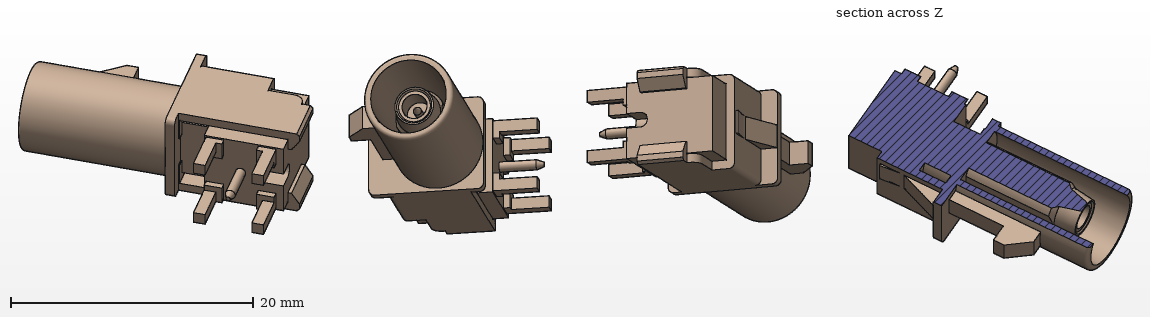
import cadquery as cq


barrel_radius = 3.75
bore_radius = 3.18
mouth_round = 0.29

flange_front = 12.7
flange_rear = 13.5
flange_top = 5.88
flange_bottom = -3.8
flange_corner_radius = 0.5
housing_height = 8.0
half_height = housing_height / 2

latch_width = 1.94
latch_front = 4.55
latch_crest_front = 6.5
latch_rear = 7.5
latch_ramp_start = 4.75
latch_top = 6.29
rib_top = 4.65

wall_thickness = 0.75
wall_inside = half_height - wall_thickness
housing_bottom = -2.6
roof_top = 4.42
roof_rear = 19.75
roof_edge_radius = 0.48
wall_step = 2.44
wall_step_radius = 0.84
wall_rear = 23.9
wall_rear_top = 1.43
wall_edge_chamfer = 0.25
hook_tip = 2.27
hook_tip_rear = 23.2

wedge_foot = 17.15
wedge_start_height = 5.83
bump_front = 17.57
bump_rear = 19.4
bump_height = 0.2

insert_half_height = 3.2
insert_front = 16.08
insert_rear = 22.9
insert_top = 3.68
insert_bottom = -3.9

web_radius = wall_inside
web_bottom = -1.95
shoulder_inner_z = 1.36
shoulder_depth = 0.1

groove_radius = 0.62
groove_axis_depth = 1.2
post_radius = 1.58

leg_tip = -7.62
leg_size = 1.0
leg_outer_z = 3.05
leg_front = 16.23
leg_rear = 22.25
foot_size = 1.53
foot_bottom = -4.45

pin_x = 19.22
pin_radius = 0.43
pin_cone_start = -7.0
pin_tip_radius = 0.2

contact_base_radius = 2.15
contact_half_flat = 1.94
contact_base_front = 4.78
contact_neck_front = 4.3
contact_neck_radius = 1.86
contact_front = 2.44
contact_front_radius = 1.63
countersink_radius = 1.48
socket_seat_radius = 1.35
countersink_depth = 0.15
socket_radius = 1.05
socket_floor = 4.78
center_pin_radius = 0.33
center_pin_front = 3.1
center_pin_taper = 0.72


def box(x0, x1, y0, y1, z0, z1):
    return cq.Workplane("XY").box(x1 - x0, y1 - y0, z1 - z0, centered=False).translate((x0, y0, z0))


def rod(radius, x0, x1):
    return cq.Workplane("YZ").workplane(offset=x0).circle(radius).extrude(x1 - x0)


def plate(points, width):
    """Outline in X and Y, thickened evenly about Z = 0."""
    return cq.Workplane("XY").polyline(points).close().extrude(width / 2, both=True)


def make_barrel():
    barrel = rod(barrel_radius, 0, flange_front).faces("<X").edges().fillet(mouth_round)
    latch = plate(
        [
            (latch_front, 0),
            (latch_front, latch_ramp_start),
            (latch_crest_front, latch_top),
            (latch_rear, latch_top),
            (latch_rear, rib_top),
            (flange_front, rib_top),
            (flange_front, 0),
        ],
        latch_width,
    )
    return barrel.union(latch).cut(rod(bore_radius, 0, flange_front))


def make_flange():
    flange = box(flange_front, flange_rear, flange_bottom, flange_top, -half_height, half_height)
    return flange.edges("|X").fillet(flange_corner_radius)


def make_housing():
    shell = box(flange_rear, roof_rear, housing_bottom, roof_top, -half_height, half_height)
    shell = shell.edges("|X and >Y").fillet(roof_edge_radius)
    arms = box(flange_rear, insert_rear, housing_bottom, wall_step, -half_height, half_height)
    arms = arms.edges("|Z and >X and >Y").fillet(wall_step_radius)
    cavity = box(flange_rear, wall_rear, housing_bottom, insert_top, -wall_inside, wall_inside)
    housing = shell.union(arms).cut(cavity)
    for side in (1, -1):
        hook = (
            cq.Workplane("XZ", origin=(0, wall_rear_top, 0))
            .moveTo(insert_rear, side * half_height)
            .lineTo(wall_rear - wall_edge_chamfer, side * half_height)
            .lineTo(wall_rear, side * (half_height - wall_edge_chamfer))
            .lineTo(wall_rear, side * wall_inside)
            .lineTo(hook_tip_rear, side * hook_tip)
            .lineTo(insert_rear, side * hook_tip)
            .close()
            .extrude(wall_rear_top - housing_bottom)
        )
        housing = housing.union(hook)
    wedge = plate(
        [(flange_rear, roof_top), (flange_rear, wedge_start_height), (wedge_foot, roof_top)],
        latch_width,
    )
    bump = plate(
        [(bump_front, roof_top), (bump_rear, roof_top + bump_height), (bump_rear, roof_top)],
        latch_width,
    )
    return housing.union(wedge).union(bump)


def make_insert():
    insert = box(
        insert_front, insert_rear, insert_bottom, insert_top, -insert_half_height, insert_half_height
    )
    insert_depth = insert_top - insert_bottom
    post = (
        cq.Workplane("XZ", origin=(pin_x, insert_top, 0)).circle(post_radius).extrude(insert_depth)
    )
    groove_axis_y = insert_bottom + groove_axis_depth
    groove = rod(groove_radius, pin_x, insert_rear).translate((0, groove_axis_y, 0))
    groove = groove.union(
        box(pin_x, insert_rear, insert_bottom, groove_axis_y, -groove_radius, groove_radius)
    )
    return insert.cut(groove.cut(post))


def make_web():
    web = rod(web_radius, flange_rear, insert_front)
    web = web.intersect(
        box(flange_rear, insert_front, web_bottom, web_radius, -web_radius, web_radius)
    )
    for side in (1, -1):
        z_range = sorted((side * shoulder_inner_z, side * wall_inside))
        shoulder_rear = flange_rear + shoulder_depth
        web = web.union(box(flange_rear, shoulder_rear, housing_bottom, insert_top, *z_range))
    return web


def make_legs():
    legs = cq.Workplane("XY")
    for z_side in (1, -1):
        for x_edge, x_side in ((leg_front, 1), (leg_rear, -1)):
            for size, tip in ((leg_size, leg_tip), (foot_size, foot_bottom)):
                x_range = sorted((x_edge, x_edge + x_side * size))
                z_range = sorted((z_side * leg_outer_z, z_side * (leg_outer_z - size)))
                legs = legs.union(box(*x_range, tip, insert_bottom, *z_range))
    return legs


def make_signal_pin():
    return (
        cq.Workplane("XY")
        .moveTo(pin_x, insert_bottom)
        .lineTo(pin_x + pin_radius, insert_bottom)
        .lineTo(pin_x + pin_radius, pin_cone_start)
        .lineTo(pin_x + pin_tip_radius, leg_tip)
        .lineTo(pin_x, leg_tip)
        .close()
        .revolve(360, (pin_x, 0, 0), (pin_x, 1, 0))
    )


def make_contact():
    body = (
        cq.Workplane("XY")
        .moveTo(flange_front, 0)
        .lineTo(flange_front, contact_base_radius)
        .lineTo(contact_base_front, contact_base_radius)
        .lineTo(contact_neck_front, contact_neck_radius)
        .lineTo(contact_front, contact_front_radius)
        .lineTo(contact_front, countersink_radius)
        .lineTo(contact_front + countersink_depth, socket_seat_radius)
        .lineTo(contact_front + countersink_depth, socket_radius)
        .lineTo(socket_floor, socket_radius)
        .lineTo(socket_floor, center_pin_radius)
        .lineTo(center_pin_front + center_pin_taper, center_pin_radius)
        .lineTo(center_pin_front, 0)
        .close()
        .revolve(360, (0, 0, 0), (1, 0, 0))
    )
    flats = box(
        0,
        flange_front,
        -contact_half_flat,
        contact_half_flat,
        -contact_base_radius,
        contact_base_radius,
    )
    return body.intersect(flats)


result = make_barrel()
for piece in (
    make_flange(),
    make_housing(),
    make_web(),
    make_insert(),
    make_legs(),
    make_signal_pin(),
    make_contact(),
):
    result = result.union(piece)